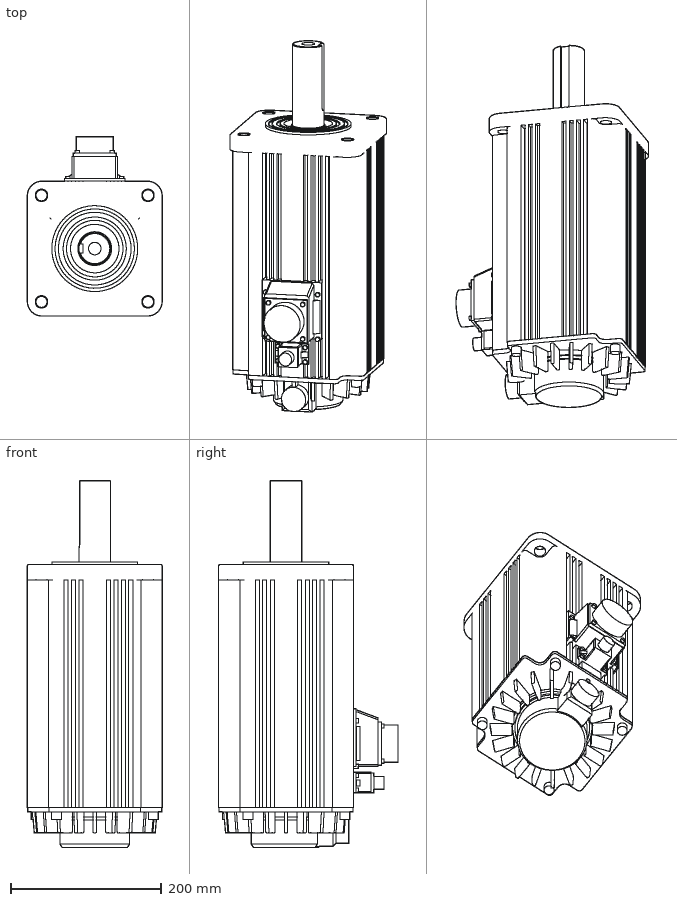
import cadquery as cq
import math

total_height = 489.0
fin_bottom_z = 19.5
housing_bottom_z = 47.5
end_plate_top_z = 53.5
flange_bottom_z = 356.5
flange_top_z = 377.0
pilot_top_z = 380.5

housing_side = 180.0
housing_half = housing_side / 2
notch_size = 28.5
notch_inner_radius = 10.5
notch_outer_radius = 5.5
end_plate_inset = 0.5
groove_width = 5.5
groove_offsets = (18.0, 28.5, 38.0)
outer_groove_offset = 48.0
groove_floor_radius = 84.5

flange_side = 180.0
flange_corner_radius = 20.0
flange_edge_radius = 2.5
bolt_offset = 71.0
bolt_hole_radius = 7.5
bolt_hole_chamfer = 1.0
pilot_radius = 57.0
pilot_rings = ((48.5, 53.0), (37.5, 42.0))
pilot_ring_depth = 1.5
seal_recess_radius = 32.5
seal_recess_depth = 8.5

shaft_radius = 21.0
shaft_collar_radius = 22.5
shaft_collar_top_z = 378.5
shaft_end_chamfer = 1.0
keyway_width = 12.0
keyway_depth = 5.5
keyway_bottom_z = 399.5
center_hole_radius = 8.5
center_hole_depth = 34.0

bell_radius = 46.5
bell_edge_width = 3.0
bell_edge_height = 4.5
bell_rim_radius = 50.0
bell_rim_bottom_z = 36.5
bell_rim_top_z = 40.5
bell_shoulder_radius = 53.5
fin_count = 20
fin_thickness = 4.5
fin_tip_radius = 80.5
fin_root_radius = 83.0
fin_inner_radius = 54.0
fin_edge_radius = 1.5
screw_near_offset = 51.0
screw_far_offset = 78.0
screw_head_radius = 6.6
screw_head_height = 10.5

embed = 22.0
foot_thickness = 3.5
foot_screw_radius = 3.0
foot_screw_head = 3.0
gusset_width = 8.5
gusset_start = 4.0
gusset_height = 9.0

encoder_plug_radius = 16.5
encoder_plug_z = 22.0
encoder_plug_end_y = 83.5
encoder_box_end_y = 66.5
encoder_box_half_width = 20.5
encoder_box_bottom_z = 1.5
encoder_box_chamfer = 4.0


def cylinder(radius, bottom, top, x=0, y=0):
    """Upright cylinder between two heights."""
    return cq.Workplane("XY", origin=(x, y, bottom)).circle(radius).extrude(top - bottom)


def y_cylinder(radius, x, z, start_y, end_y):
    """Cylinder along +Y."""
    return cq.Workplane("XZ", origin=(x, start_y, z)).circle(radius).extrude(start_y - end_y)


def block(x_range, y_range, z_range):
    """Axis-aligned block given by its limits."""
    (x0, x1), (y0, y1), (z0, z1) = x_range, y_range, z_range
    return cq.Workplane("XY").box(x1 - x0, y1 - y0, z1 - z0, centered=False).translate((x0, y0, z0))


def four_around(solid):
    """The solid repeated at quarter turns about the motor axis."""
    copies = solid
    for turn in (90, 180, 270):
        copies = copies.union(solid.rotate((0, 0, 0), (0, 0, 1), turn))
    return copies


def housing_outline():
    """Square with a stepped, rounded notch in each corner."""
    half = housing_half
    wall = half - notch_size
    bulge = notch_outer_radius
    hollow = notch_inner_radius
    diagonal = math.sqrt(0.5)

    outer_arc = bulge * (1 - diagonal)
    inner_arc = hollow * (1 - diagonal)
    corner = [
        ((half, wall - bulge), None),
        ((half - bulge, wall), (half - outer_arc, wall - outer_arc)),
        ((wall + hollow, wall), None),
        ((wall, wall + hollow), (wall + inner_arc, wall + inner_arc)),
        ((wall, half - bulge), None),
        ((wall - bulge, half), (wall - outer_arc, half - outer_arc)),
    ]

    def turned(point, quarter):
        x, y = point
        for _ in range(quarter):
            x, y = -y, x
        return x, y

    outline = cq.Workplane("XY").moveTo(half, bulge - wall)
    for quarter in range(4):
        for end, middle in corner:
            if middle is None:
                outline = outline.lineTo(*turned(end, quarter))
            else:
                outline = outline.threePointArc(turned(middle, quarter), turned(end, quarter))
    return outline.close()


def side_groove(offset):
    """Straight-walled groove in the -Y side; its floor is square to the radius through it."""
    tilt = math.asin(offset / groove_floor_radius)
    floor_y = -groove_floor_radius * math.cos(tilt)
    rise = groove_width / 2 * math.tan(tilt)
    left = offset - groove_width / 2
    right = offset + groove_width / 2
    profile = [
        (left, floor_y - rise),
        (right, floor_y + rise),
        (right, -housing_side),
        (left, -housing_side),
    ]
    return (
        cq.Workplane("XY", origin=(0, 0, end_plate_top_z))
        .polyline(profile)
        .close()
        .extrude(flange_bottom_z - end_plate_top_z)
    )


def make_housing():
    """Extruded body: notched corners, grooved sides and a plain, slightly inset end plate."""
    body = housing_outline().extrude(flange_bottom_z - end_plate_top_z)
    body = body.translate((0, 0, end_plate_top_z))
    end_plate = housing_outline().offset2D(-end_plate_inset).extrude(end_plate_top_z - housing_bottom_z)
    end_plate = end_plate.translate((0, 0, housing_bottom_z))
    grooves = side_groove(outer_groove_offset)
    for offset in groove_offsets:
        groove = side_groove(offset)
        grooves = grooves.union(groove).union(groove.mirror("YZ"))
    return body.cut(four_around(grooves)).union(end_plate)


def make_flange():
    """Square mounting flange with four bolt holes and the ringed pilot."""
    flange = (
        cq.Workplane("XY", origin=(0, 0, flange_bottom_z))
        .rect(flange_side, flange_side)
        .extrude(flange_top_z - flange_bottom_z)
        .edges("|Z")
        .fillet(flange_corner_radius)
        .faces(">Z")
        .edges()
        .fillet(flange_edge_radius)
    )
    flange = (
        flange.faces(">Z")
        .workplane(origin=(0, 0, flange_top_z))
        .rect(2 * bolt_offset, 2 * bolt_offset, forConstruction=True)
        .vertices()
        .cskHole(2 * bolt_hole_radius, 2 * (bolt_hole_radius + bolt_hole_chamfer), 90)
    )
    flange = flange.union(cylinder(pilot_radius, flange_bottom_z, pilot_top_z))
    for inner, outer in pilot_rings:
        ring = (
            cq.Workplane("XY", origin=(0, 0, pilot_top_z - pilot_ring_depth))
            .circle(outer)
            .circle(inner)
            .extrude(pilot_ring_depth)
        )
        flange = flange.cut(ring)
    return flange.cut(cylinder(seal_recess_radius, pilot_top_z - seal_recess_depth, pilot_top_z))


def make_shaft():
    """Output shaft with a collar, an open-ended keyway and a conical-bottomed end hole."""
    shaft = cylinder(shaft_radius, flange_bottom_z, total_height)
    shaft = shaft.faces(">Z").edges().chamfer(shaft_end_chamfer)
    shaft = shaft.union(cylinder(shaft_collar_radius, flange_bottom_z, shaft_collar_top_z))

    keyway_floor_x = keyway_depth - shaft_radius
    keyway_end_z = keyway_bottom_z + keyway_width / 2
    keyway = block(
        (-housing_half, keyway_floor_x),
        (-keyway_width / 2, keyway_width / 2),
        (keyway_end_z, total_height),
    )
    keyway_end = (
        cq.Workplane("YZ", origin=(keyway_floor_x, 0, keyway_end_z))
        .circle(keyway_width / 2)
        .extrude(-housing_half)
    )
    hole_profile = [
        (0, total_height),
        (center_hole_radius, total_height),
        (center_hole_radius, total_height - center_hole_depth),
        (0, total_height - center_hole_depth - center_hole_radius),
    ]
    center_hole = cq.Workplane("XZ").polyline(hole_profile).close().revolve(360, (0, 0, 0), (0, 1, 0))
    return shaft.cut(keyway).cut(keyway_end).cut(center_hole)


def make_rear_bell():
    """Round rear cover, stepped out twice where it meets the housing."""
    profile = [
        (0, 0),
        (bell_radius - bell_edge_width, 0),
        (bell_radius, bell_edge_height),
        (bell_radius, bell_rim_bottom_z),
        (bell_rim_radius, bell_rim_bottom_z),
        (bell_rim_radius, bell_rim_top_z),
        (bell_shoulder_radius, bell_rim_top_z),
        (bell_shoulder_radius, end_plate_top_z),
        (0, end_plate_top_z),
    ]
    return cq.Workplane("XZ").polyline(profile).close().revolve(360, (0, 0, 0), (0, 1, 0))


def make_fins():
    """Radial cooling fins around the bell."""
    profile = [
        (fin_inner_radius, fin_bottom_z),
        (fin_tip_radius, fin_bottom_z),
        (fin_root_radius, housing_bottom_z),
        (fin_root_radius, end_plate_top_z),
        (fin_inner_radius, end_plate_top_z),
    ]
    fin = cq.Workplane("XZ").polyline(profile).close().extrude(fin_thickness / 2, both=True)
    fin = fin.faces("<Z").edges("|X").fillet(fin_edge_radius)
    fins = fin
    for index in range(1, fin_count):
        fins = fins.union(fin.rotate((0, 0, 0), (0, 0, 1), index * 360 / fin_count))
    return fins


def make_screw_heads():
    """One screw head beside each notched corner."""
    head = cylinder(
        screw_head_radius,
        housing_bottom_z - screw_head_height,
        end_plate_top_z,
        screw_far_offset,
        -screw_near_offset,
    )
    return four_around(head)


def make_encoder_outlet():
    """Box beside the bell with a round plug pointing to +Y."""
    box = block(
        (-encoder_box_half_width, encoder_box_half_width),
        (0, encoder_box_end_y),
        (encoder_box_bottom_z, end_plate_top_z),
    )
    box = box.faces(">Y").edges().chamfer(encoder_box_chamfer)
    plug = y_cylinder(encoder_plug_radius, 0, encoder_plug_z, 0, encoder_plug_end_y)
    return box.union(plug)


def make_connector(
    plug_z,
    plug_radius,
    plug_end_y,
    plate_half,
    plate_thickness,
    plate_end_y,
    shell_half_width,
    shell_bottom_z,
    shell_root_top_z,
    shell_tip_top_z,
    shell_edge,
    foot_half_width,
    gusset_half_height,
    screw_spacing,
    screw_inset,
):
    """Connector on the +Y side: screwed foot, shell with gussets, square plate and round plug."""
    root_y = housing_half - embed
    foot_top_y = housing_half + foot_thickness
    shell_end_y = plate_end_y - plate_thickness

    foot = block(
        (-foot_half_width, foot_half_width),
        (root_y, foot_top_y),
        (shell_bottom_z, shell_root_top_z),
    )
    shell_profile = [
        (root_y, shell_bottom_z),
        (shell_end_y, shell_bottom_z),
        (shell_end_y, shell_tip_top_z),
        (housing_half, shell_root_top_z),
        (root_y, shell_root_top_z),
    ]
    shell = (
        cq.Workplane("YZ")
        .polyline(shell_profile)
        .close()
        .extrude(shell_half_width, both=True)
        .faces(">X or <X")
        .edges("not >Y")
        .chamfer(shell_edge)
    )
    gusset_profile = [
        (shell_half_width + gusset_width, root_y),
        (shell_half_width + gusset_width, housing_half + gusset_start),
        (shell_half_width, housing_half + gusset_height),
        (0, housing_half + gusset_height),
        (0, root_y),
    ]
    gusset = (
        cq.Workplane("XY", origin=(0, 0, plug_z - gusset_half_height))
        .polyline(gusset_profile)
        .close()
        .extrude(2 * gusset_half_height)
    )
    plate = block(
        (-plate_half, plate_half),
        (shell_end_y, plate_end_y),
        (plug_z - plate_half, plug_z + plate_half),
    )
    plug = y_cylinder(plug_radius, 0, plug_z, shell_end_y, plug_end_y)
    connector = foot.union(shell).union(gusset).union(gusset.mirror("YZ")).union(plate).union(plug)

    screw_x = foot_half_width - screw_inset
    for x in (-screw_x, screw_x):
        for z in (plug_z - screw_spacing / 2, plug_z + screw_spacing / 2):
            head = y_cylinder(foot_screw_radius, x, z, root_y, foot_top_y + foot_screw_head)
            connector = connector.union(head)
    return connector


def make_power_connector():
    """Large connector with a sloping top and four screw heads on its plate."""
    plug_z = 138.5
    plate_end_y = 127.0
    plate_screw_offset = 23.5
    plate_screw_radius = 3.0
    plate_screw_head = 3.5
    connector = make_connector(
        plug_z=plug_z,
        plug_radius=25.0,
        plug_end_y=149.0,
        plate_half=29.0,
        plate_thickness=4.5,
        plate_end_y=plate_end_y,
        shell_half_width=30.5,
        shell_bottom_z=108.0,
        shell_root_top_z=185.0,
        shell_tip_top_z=172.5,
        shell_edge=2.5,
        foot_half_width=40.5,
        gusset_half_height=22.5,
        screw_spacing=60.5,
        screw_inset=5.0,
    )
    for x in (-plate_screw_offset, plate_screw_offset):
        for z in (plug_z - plate_screw_offset, plug_z + plate_screw_offset):
            head = y_cylinder(plate_screw_radius, x, z, housing_half, plate_end_y + plate_screw_head)
            connector = connector.union(head)
    return connector


def make_signal_connector():
    """Small straight connector below the power connector."""
    return make_connector(
        plug_z=86.0,
        plug_radius=9.0,
        plug_end_y=130.5,
        plate_half=13.0,
        plate_thickness=3.5,
        plate_end_y=117.0,
        shell_half_width=13.5,
        shell_bottom_z=73.0,
        shell_root_top_z=100.0,
        shell_tip_top_z=100.0,
        shell_edge=1.5,
        foot_half_width=23.0,
        gusset_half_height=4.0,
        screw_spacing=19.5,
        screw_inset=4.5,
    )


result = make_housing()
for component in (
    make_flange(),
    make_shaft(),
    make_rear_bell(),
    make_fins(),
    make_screw_heads(),
    make_encoder_outlet(),
    make_power_connector(),
    make_signal_connector(),
):
    result = result.union(component)